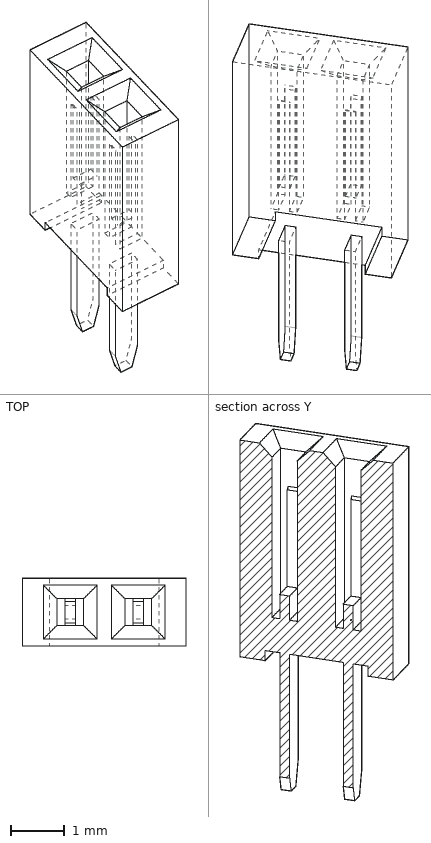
import cadquery as cq

HEIGHT = 7.0
BODY_LENGTH = 3.05
BODY_WIDTH = 1.27

BODY_HEIGHT = 4.4
FOOT_LENGTH = 0.505
FOOT_HEIGHT = 0.2
PITCH = 1.27

FUNNEL_SIDE = 1.0
WELL_SIDE = FUNNEL_SIDE / 2
FUNNEL_DEPTH = (FUNNEL_SIDE - WELL_SIDE) / 2
WELL_FLOOR_DEPTH = 3.5

BLADE_THICKNESS = 0.2
BLADE_WIDTH = WELL_SIDE
TIP_WIDTH = BLADE_WIDTH / 2
TIP_LENGTH = BLADE_WIDTH
FORK_GAP = 0.4
FORK_TOP_DEPTH = 1.0
FORK_GAP_DEPTH = 3.01

BODY_BOTTOM = HEIGHT - BODY_HEIGHT
RECESS_TOP = BODY_BOTTOM + FOOT_HEIGHT
WELL_TOP = HEIGHT - FUNNEL_DEPTH
WELL_FLOOR = HEIGHT - WELL_FLOOR_DEPTH
FORK_TOP = HEIGHT - FORK_TOP_DEPTH
FORK_GAP_FLOOR = HEIGHT - FORK_GAP_DEPTH

CONTACT_POSITIONS = (-PITCH / 2, PITCH / 2)


def block(length, width, bottom, top, x=0):
    """Upright box centred on (x, 0) between two heights."""
    return (
        cq.Workplane("XY", origin=(x, 0, bottom))
        .rect(length, width)
        .extrude(top - bottom)
    )


def housing():
    """Rectangular body with a shallow recess between its two feet."""
    body = block(BODY_LENGTH, BODY_WIDTH, BODY_BOTTOM, HEIGHT)
    recess_length = BODY_LENGTH - 2 * FOOT_LENGTH
    return body.cut(block(recess_length, BODY_WIDTH, BODY_BOTTOM, RECESS_TOP))


def socket(x):
    """Cavity for one contact: a funnel leading into the well."""
    funnel = (
        cq.Workplane("XY", origin=(x, 0, WELL_TOP))
        .rect(WELL_SIDE, WELL_SIDE)
        .workplane(offset=FUNNEL_DEPTH)
        .rect(FUNNEL_SIDE, FUNNEL_SIDE)
        .loft(ruled=True)
    )
    well = block(WELL_SIDE, WELL_SIDE, WELL_FLOOR, WELL_TOP, x)
    return funnel.union(well)


def contact(x):
    """Blade with a blunt tapered tip below and two bevelled tines above."""
    half_width = BLADE_WIDTH / 2
    half_tip = TIP_WIDTH / 2
    half_gap = FORK_GAP / 2
    bevel_bottom = FORK_TOP - (half_width - half_gap)
    outline = [
        (-half_tip, 0),
        (half_tip, 0),
        (half_width, TIP_LENGTH),
        (half_width, FORK_TOP),
        (half_gap, bevel_bottom),
        (half_gap, FORK_GAP_FLOOR),
        (-half_gap, FORK_GAP_FLOOR),
        (-half_gap, bevel_bottom),
        (-half_width, FORK_TOP),
        (-half_width, TIP_LENGTH),
    ]
    return (
        cq.Workplane("YZ", origin=(x, 0, 0))
        .polyline(outline)
        .close()
        .extrude(BLADE_THICKNESS / 2, both=True)
    )


result = housing()
for position in CONTACT_POSITIONS:
    result = result.cut(socket(position))
    result = result.union(contact(position))